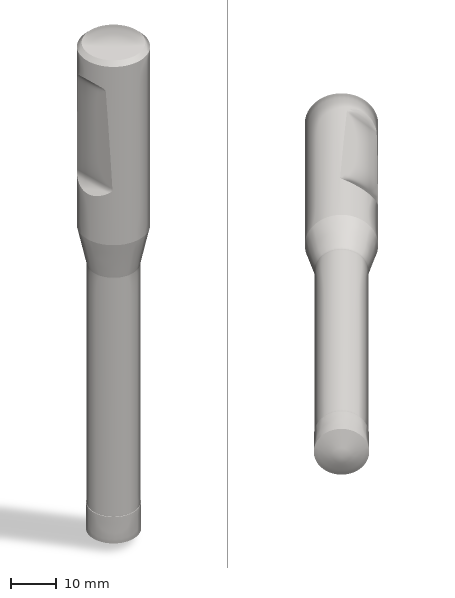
import cadquery as cq
import math

total_length = 130.0
grip_diameter = 16.0
neck_diameter = 11.7
grip_length = 48.0
taper_length = 10.0
top_chamfer = 1.0

tip_diameter = 12.1
tip_back_diameter = 12.0
tip_height = 9.1
point_height = 2.2

notch_top_offset = 6.0
notch_length = 30.0
notch_top_depth = 1.24
notch_floor_tilt = 2.0
notch_corner_radius = 1.5

grip_radius = grip_diameter / 2
neck_radius = neck_diameter / 2
grip_bottom = total_length - grip_length
taper_bottom = grip_bottom - taper_length


def make_shank():
    """Chamfered grip, conical transition and slim neck, with the notch cut out."""
    shank = (
        cq.Workplane("XZ")
        .moveTo(0, tip_height)
        .lineTo(neck_radius, tip_height)
        .lineTo(neck_radius, taper_bottom)
        .lineTo(grip_radius, grip_bottom)
        .lineTo(grip_radius, total_length - top_chamfer)
        .lineTo(grip_radius - top_chamfer, total_length)
        .lineTo(0, total_length)
        .close()
        .revolve(360, (0, 0), (0, 1))
    )
    return shank.cut(make_notch())


def make_notch():
    """Side profile of the notch, extruded across the full grip width."""
    notch_top = total_length - notch_top_offset
    notch_bottom = notch_top - notch_length
    floor_slope = math.tan(math.radians(notch_floor_tilt))
    floor_height = (notch_length - 2 * notch_top_depth) / (1 + floor_slope)
    floor_drop = floor_height * floor_slope
    floor_top = notch_top - notch_top_depth
    floor_bottom = floor_top - floor_height
    floor_top_y = -grip_radius + notch_top_depth
    notch = (
        cq.Workplane("YZ")
        .moveTo(-grip_radius, notch_top)
        .lineTo(floor_top_y, floor_top)
        .lineTo(floor_top_y + floor_drop, floor_bottom)
        .lineTo(-grip_radius, notch_bottom)
        .close()
        .extrude(grip_radius, both=True)
    )
    return notch.edges("|X").edges("not <Y").fillet(notch_corner_radius)


def make_tip():
    """Back-tapered cutting head that ends in a shallow conical point."""
    return (
        cq.Workplane("XZ")
        .moveTo(0, 0)
        .lineTo(tip_diameter / 2, point_height)
        .lineTo(tip_back_diameter / 2, tip_height)
        .lineTo(0, tip_height)
        .close()
        .revolve(360, (0, 0), (0, 1))
    )


shank = make_shank()
tip = make_tip()

result = cq.Compound.makeCompound([shank.val(), tip.val()])